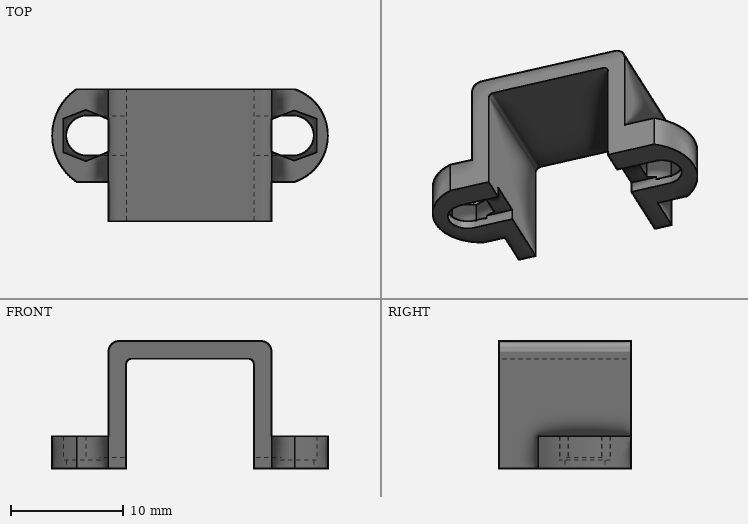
import cadquery as cq

span = 24.6
depth = 11.8
height = 11.4
body_width = 14.56
wall = 1.6
outer_radius = 0.98
inner_radius = 0.5

ear_width = 8.3
ear_height = 2.9
left_shoulder_x = 10.1
right_shoulder_x = 9.32

slot_width = 3.55
slot_tip_x = 11.02
slot_height = 1.03
nut_floor = 0.79

nut_outer_x = 11.3
nut_tip_x = 9.27
left_nut_half_length = 2.3
right_nut_half_length = 2.25
nut_flat_half_length = 1.5
nut_inner_half_length = 1.45

half_span = span / 2
half_body = body_width / 2
back_y = depth / 2
ear_y = back_y - ear_width / 2
ear_inner_x = half_body - wall / 2


def make_cover():
    """U-shaped cover, open at the bottom and at both Y ends."""
    outer = (
        cq.Workplane("XY")
        .box(body_width, depth, height, centered=(True, True, False))
        .edges("|Y and >Z")
        .fillet(outer_radius)
    )
    cavity = (
        cq.Workplane("XY")
        .box(body_width - 2 * wall, depth, height - wall, centered=(True, True, False))
        .edges("|Y and >Z")
        .fillet(inner_radius)
    )
    return outer.cut(cavity)


def make_ear(side, shoulder_x):
    """Round-ended mounting ear; side is -1 for the left and 1 for the right."""
    half_width = ear_width / 2
    return (
        cq.Workplane("XY", origin=(0, ear_y, 0))
        .moveTo(side * ear_inner_x, -half_width)
        .lineTo(side * shoulder_x, -half_width)
        .threePointArc((side * half_span, 0), (side * shoulder_x, half_width))
        .lineTo(side * ear_inner_x, half_width)
        .close()
        .extrude(ear_height)
    )


def make_nut_pocket(side, half_length):
    """Stretched hexagonal pocket ending against the outer face of the cover."""
    outline = [
        (side * half_body, -nut_inner_half_length),
        (side * nut_tip_x, -half_length),
        (side * nut_outer_x, -nut_flat_half_length),
        (side * nut_outer_x, nut_flat_half_length),
        (side * nut_tip_x, half_length),
        (side * half_body, nut_inner_half_length),
    ]
    return (
        cq.Workplane("XY", origin=(0, ear_y, nut_floor))
        .polyline(outline)
        .close()
        .extrude(ear_height - nut_floor)
    )


slot = (
    cq.Workplane("XY", origin=(0, ear_y, 0))
    .slot2D(2 * slot_tip_x, slot_width)
    .extrude(slot_height)
)

result = make_cover()
for side, shoulder_x, nut_half_length in (
    (-1, left_shoulder_x, left_nut_half_length),
    (1, right_shoulder_x, right_nut_half_length),
):
    result = result.union(make_ear(side, shoulder_x))
    result = result.cut(make_nut_pocket(side, nut_half_length))
result = result.cut(slot)